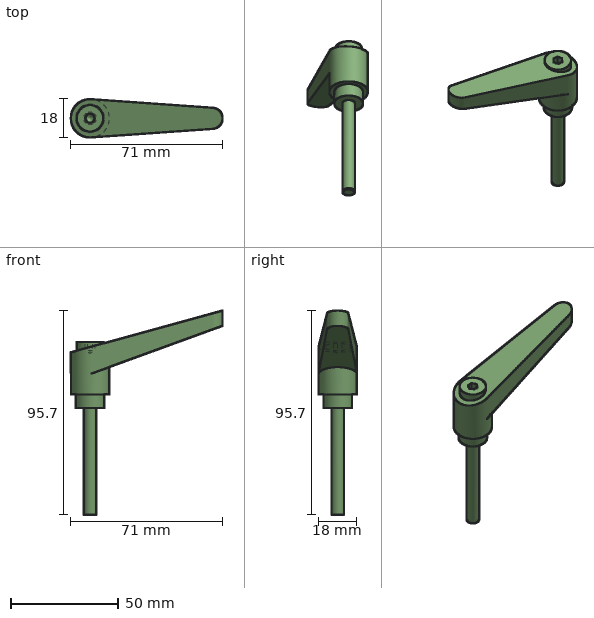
import cadquery as cq
import math


stud_diameter = 6.0
stud_length = 50.0
stud_chamfer = 0.4

collar_diameter = 13.5
collar_height = 6.5

hub_radius = 9.0
tip_radius = 5.0
tip_reach = 61.99
tip_top_z = 45.66
tip_height = 7.2
top_slope = math.radians(15.4)
underside_slope = math.radians(20.0)

head_diameter = 12.4
head_top_z = 31.0
socket_across_flats = 4.0
socket_depth = 4.0
socket_cone_angle = math.radians(118.0)

tip_center_x = tip_reach - tip_radius
side_sine = (hub_radius - tip_radius) / tip_center_x
side_cosine = math.sqrt(1 - side_sine**2)
arm_start_x = hub_radius * side_sine
arm_start_y = hub_radius * side_cosine
arm_end_x = tip_center_x + tip_radius * side_sine
arm_end_y = tip_radius * side_cosine


def top_z(x):
    """Height of the sloping top face at x."""
    return tip_top_z - (tip_reach - x) * math.tan(top_slope)


def underside_z(x):
    """Height of the sloping arm underside at x."""
    return tip_top_z - tip_height - (tip_reach - x) * math.tan(underside_slope)


def extrude_side_profile(points):
    """Prism across the full lever width from an outline in the XZ plane."""
    return cq.Workplane("XZ").polyline(points).close().extrude(hub_radius, both=True)


def make_stud():
    stud = cq.Workplane("XY").circle(stud_diameter / 2).extrude(-stud_length)
    return stud.faces("<Z").chamfer(stud_chamfer)


def make_collar():
    return cq.Workplane("XY").circle(collar_diameter / 2).extrude(collar_height)


def make_hub():
    column = (
        cq.Workplane("XY", origin=(0, 0, collar_height))
        .circle(hub_radius)
        .extrude(tip_top_z - collar_height)
    )
    below_top_face = extrude_side_profile([
        (-hub_radius, collar_height),
        (hub_radius, collar_height),
        (hub_radius, top_z(hub_radius)),
        (-hub_radius, top_z(-hub_radius)),
    ])
    return column.intersect(below_top_face)


def make_arm():
    plan = (
        cq.Workplane("XY")
        .moveTo(arm_start_x, -arm_start_y)
        .lineTo(arm_end_x, -arm_end_y)
        .threePointArc((tip_reach, 0), (arm_end_x, arm_end_y))
        .lineTo(arm_start_x, arm_start_y)
        .close()
        .extrude(tip_top_z)
    )
    slope_band = extrude_side_profile([
        (arm_start_x, underside_z(arm_start_x)),
        (tip_reach, underside_z(tip_reach)),
        (tip_reach, top_z(tip_reach)),
        (arm_start_x, top_z(arm_start_x)),
    ])
    return plan.intersect(slope_band)


def make_screw_head():
    return (
        cq.Workplane("XY", origin=(0, 0, collar_height))
        .circle(head_diameter / 2)
        .extrude(head_top_z - collar_height)
    )


def make_socket():
    """Hexagonal recess, corners along X, ending in a conical drill point."""
    corner_radius = socket_across_flats / math.sqrt(3)
    cone_depth = corner_radius / math.tan(socket_cone_angle / 2)
    floor_z = head_top_z - socket_depth
    hexagon = (
        cq.Workplane("XY", origin=(0, 0, floor_z - cone_depth))
        .polygon(6, 2 * corner_radius)
        .extrude(socket_depth + cone_depth)
    )
    drill = (
        cq.Workplane("XZ")
        .moveTo(0, floor_z - cone_depth)
        .lineTo(corner_radius, floor_z)
        .lineTo(corner_radius, head_top_z)
        .lineTo(0, head_top_z)
        .close()
        .revolve(360, (0, 0, 0), (0, 1, 0))
    )
    return hexagon.intersect(drill)


lever = make_hub().union(make_arm())
body = lever.union(make_collar()).union(make_stud()).union(make_screw_head())
result = body.cut(make_socket())